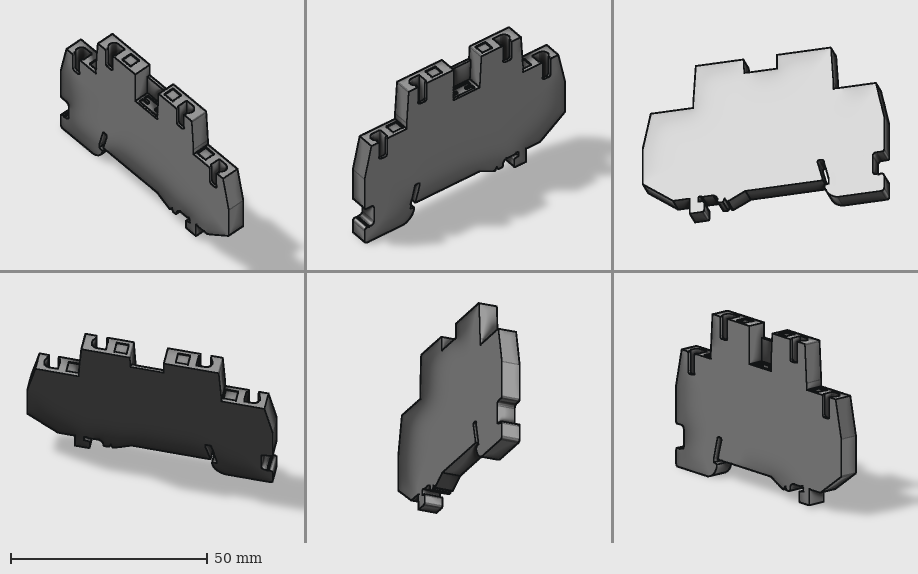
import cadquery as cq

length = 64.0
thickness = 5.0
height = 43.5

lower_deck_z = 31.5
belly_z = 5.4
side_bottom_z = 11.4
marker_floor_z = 33.4
marker_wall_top_z = 39.55
tower_root_z = 33.35
hook_bottom_z = 1.0
foot_ledge_z = 5.05

left_tower_x = 13.45
right_tower_x = 50.55
tower_lean = 0.65
pocket_left_x = 28.4
pocket_right_x = 36.75
pocket_lean = 0.5
foot_arc_x = 12.35
undercut_x = 49.2
undercut_z = 5.6
ramp_start_x = 36.75
stop_right_x = 44.15
stop_bottom_z = 3.1
hook_left_x = 47.7
hook_right_x = 51.5
hook_top_z = 4.0
flex_slot_left_x = 16.1
flex_slot_right_x = 17.8
end_notch_depth = 3.0
ledge_groove_depth = 0.2

marker_wall = 0.8

notch_radius = 0.95
foot_radius = 0.8
rail_and_end_radius = 0.5
tower_radius = 0.2

entry_front_y = 0.7
entry_width = 3.1
entry_length = 3.9
slot_depth = 5.8
entry_depth = 2 * slot_depth
slot_corner_radius = 0.7

square_front_y = 1.0
square_width = 2.95
square_length = 3.2
recess_depth = 0.4

recess_left_x = 29.1
recess_length = 6.6
recess_front_y = 0.7
recess_width = 2.9
tongue_length = 1.9
tongue_width = 0.65


def box(x, y, z, dx, dy, dz):
    """Box given by its lowest corner and its sizes."""
    return cq.Workplane("XY").box(dx, dy, dz, centered=False).translate((x, y, z))


def extrude_outline(outline, front_y, depth):
    """Extrude an XZ outline towards +Y, starting at front_y."""
    return outline.close().extrude(-depth).translate((0, front_y, 0))


def round_corners(body, corners, radius):
    """Round the edges along Y that pass through the given (x, z) corners."""
    reach = 0.05
    for x, z in corners:
        corner_box = cq.selectors.BoxSelector(
            (x - reach, -reach, z - reach), (x + reach, thickness + reach, z + reach)
        )
        body = body.edges("|Y").edges(corner_box).fillet(radius)
    return body


def housing():
    outline = (
        cq.Workplane("XZ")
        .moveTo(0, 0)
        .lineTo(foot_arc_x, 0)
        .threePointArc((14.85, 1.5), (15.9, 4.0))
        .lineTo(14.65, 4.3)
        .lineTo(14.65, belly_z)
        .lineTo(flex_slot_left_x, side_bottom_z)
        .lineTo(flex_slot_right_x, side_bottom_z)
        .lineTo(16.2, belly_z)
        .lineTo(ramp_start_x, belly_z)
        .lineTo(41.35, stop_bottom_z)
        .lineTo(41.65, stop_bottom_z)
        .lineTo(42.25, 4.0)
        .lineTo(42.7, stop_bottom_z)
        .lineTo(stop_right_x, stop_bottom_z)
        .lineTo(stop_right_x, 4.0)
        .threePointArc((44.5, 4.8), (45.3, belly_z))
        .lineTo(48.2, belly_z)
        .lineTo(48.6, undercut_z)
        .lineTo(undercut_x, undercut_z)
        .lineTo(undercut_x, 4.15)
        .lineTo(hook_left_x, hook_top_z)
        .lineTo(hook_left_x, hook_bottom_z)
        .lineTo(hook_right_x, hook_bottom_z)
        .lineTo(hook_right_x, belly_z)
        .lineTo(55.95, belly_z)
        .lineTo(length, side_bottom_z)
        .lineTo(length, 21.45)
        .lineTo(61.8, lower_deck_z)
        .lineTo(right_tower_x, lower_deck_z)
        .lineTo(right_tower_x, tower_root_z)
        .lineTo(right_tower_x - tower_lean, height)
        .lineTo(pocket_right_x + pocket_lean, height)
        .lineTo(pocket_right_x, marker_floor_z)
        .lineTo(pocket_left_x, marker_floor_z)
        .lineTo(pocket_left_x, height)
        .lineTo(left_tower_x + tower_lean, height)
        .lineTo(left_tower_x, tower_root_z)
        .lineTo(left_tower_x, lower_deck_z)
        .lineTo(2.2, lower_deck_z)
        .lineTo(0, 21.5)
        .lineTo(0, side_bottom_z)
        .lineTo(end_notch_depth, side_bottom_z)
        .lineTo(end_notch_depth, foot_ledge_z)
        .lineTo(1.55, foot_ledge_z)
        .lineTo(1.4, foot_ledge_z - ledge_groove_depth)
        .lineTo(1.0, foot_ledge_z)
        .lineTo(0, foot_ledge_z)
    )
    body = extrude_outline(outline, 0, thickness)
    notch_corners = [(end_notch_depth, foot_ledge_z), (end_notch_depth, side_bottom_z)]
    foot_corners = [(0, 0), (0, foot_ledge_z)]
    rail_and_end_corners = [
        (flex_slot_left_x, side_bottom_z),
        (flex_slot_right_x, side_bottom_z),
        (undercut_x, undercut_z),
        (stop_right_x, stop_bottom_z),
        (hook_left_x, hook_top_z),
        (hook_left_x, hook_bottom_z),
        (0, side_bottom_z),
        (length, side_bottom_z),
    ]
    tower_corners = [
        (left_tower_x + tower_lean, height),
        (right_tower_x - tower_lean, height),
        (pocket_right_x + pocket_lean, height),
    ]
    body = round_corners(body, notch_corners, notch_radius)
    body = round_corners(body, foot_corners, foot_radius)
    body = round_corners(body, rail_and_end_corners, rail_and_end_radius)
    return round_corners(body, tower_corners, tower_radius)


def marker_back_wall():
    """Thin wall closing the back of the marker pocket."""
    return box(
        pocket_left_x, thickness - marker_wall, marker_floor_z,
        pocket_right_x + pocket_lean - pocket_left_x, marker_wall, marker_wall_top_z - marker_floor_z,
    )


def marker_recess():
    """Shallow recess in the pocket floor, with a tongue left standing at each end."""
    floor_z = marker_floor_z - recess_depth
    recess = box(recess_left_x, recess_front_y, floor_z, recess_length, recess_width, recess_depth)
    tongue_y = recess_front_y + (recess_width - tongue_width) / 2
    for tongue_x in (recess_left_x, recess_left_x + recess_length - tongue_length):
        recess = recess.cut(box(tongue_x, tongue_y, floor_z, tongue_length, tongue_width, recess_depth))
    return recess


def wire_entry(round_end_x, inward, deck_z, slot_start, slot_width, corner_radius, lip_radius):
    """D-shaped wire entry with a slot through the front side.

    round_end_x is the tip of the round end; inward is +1 or -1, towards the middle of the part.
    slot_start is the distance from that tip to the slot.
    """
    floor_z = deck_z - entry_depth
    radius = entry_width / 2
    middle_y = entry_front_y + radius
    flat_x = round_end_x + inward * entry_length
    arc_x = round_end_x + inward * radius
    hole = (
        cq.Workplane("XY")
        .workplane(offset=floor_z)
        .moveTo(arc_x, middle_y + radius)
        .threePointArc((round_end_x, middle_y), (arc_x, middle_y - radius))
        .lineTo(flat_x, middle_y - radius)
        .lineTo(flat_x, middle_y + radius)
        .close()
        .extrude(entry_depth)
    )
    if corner_radius > 0:
        flat_side = ">X" if inward > 0 else "<X"
        hole = hole.faces(flat_side).edges("|Z").fillet(corner_radius)

    slot_center_x = round_end_x + inward * (slot_start + slot_width / 2)
    left = slot_center_x - slot_width / 2
    right = slot_center_x + slot_width / 2
    slot = box(left, 0, deck_z - slot_depth, slot_width, middle_y, slot_depth)
    slot = slot.faces("<Z").edges("|Y").fillet(slot_corner_radius)

    lip = extrude_outline(
        cq.Workplane("XZ")
        .moveTo(left - lip_radius, deck_z)
        .radiusArc((left, deck_z - lip_radius), lip_radius)
        .lineTo(right, deck_z - lip_radius)
        .radiusArc((right + lip_radius, deck_z), lip_radius),
        0, entry_front_y,
    )
    return hole.union(slot).union(lip)


def test_point(left_x, deck_z):
    """Shallow square recess in a deck."""
    return box(left_x, square_front_y, deck_z - recess_depth, square_length, square_width, recess_depth)


result = housing().union(marker_back_wall()).cut(marker_recess())

for tip_offset, deck_z, slot_start, slot_width, corner_radius, lip_radius in (
    (3.9, lower_deck_z, 0.8, 2.5, 0.25, 0.3),
    (16.3, height, 0.8, 2.7, 0, 0.2),
):
    for tip_x, inward in ((tip_offset, 1), (length - tip_offset, -1)):
        entry = wire_entry(tip_x, inward, deck_z, slot_start, slot_width, corner_radius, lip_radius)
        result = result.cut(entry)

for left_x, deck_z in ((9.85, lower_deck_z), (22.35, height), (38.35, height), (50.8, lower_deck_z)):
    result = result.cut(test_point(left_x, deck_z))